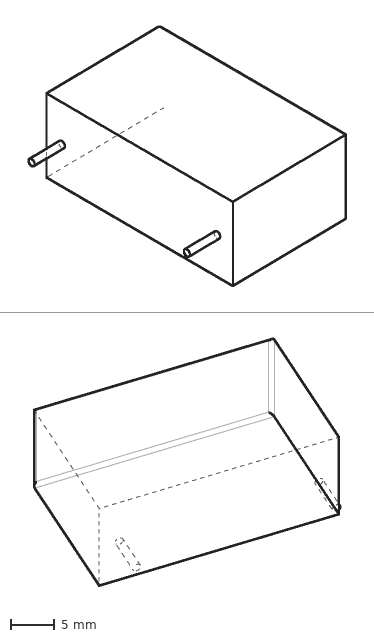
import cadquery as cq

body_width = 30.5
body_height = 12.1
overall_depth = 24.0

lead_length = 5.0
lead_diameter = 1.0
lead_spacing = 25.4

edge_radius = 0.5
body_depth = overall_depth - lead_length


def make_case():
    """Rectangular case, lead face on Y = 0, with the rim of its far +Y face rounded."""
    box = cq.Workplane("XY").box(body_width, body_depth, body_height, centered=(True, False, True))
    return box.faces(">Y").edges().fillet(edge_radius)


def make_lead(x_position):
    """Round lead that starts on the lead face and points along -Y."""
    return (
        cq.Workplane("XZ")
        .center(x_position, 0)
        .circle(lead_diameter / 2)
        .extrude(lead_length)
    )


case = make_case()
leads = [make_lead(side * lead_spacing / 2) for side in (-1, 1)]

result = cq.Compound.makeCompound([case.val(), *[lead.val() for lead in leads]])